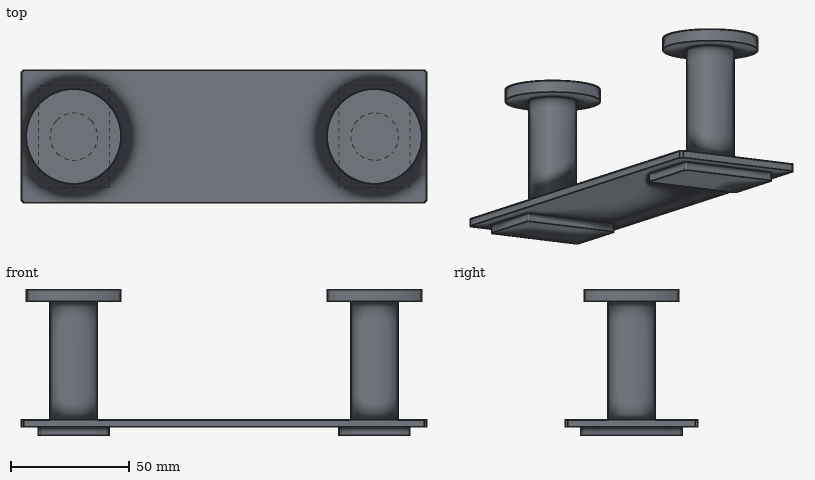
import cadquery as cq

plate_length = 171.0
plate_width = 56.0
plate_thickness = 3.0
plate_corner_chamfer = 1.0

pad_length = 30.0
pad_width = 43.0
pad_height = 3.5
pad_corner_radius = 1.0

post_spacing = 127.0
post_diameter = 20.0
post_height = 50.0
head_diameter = 40.0
head_thickness = 5.0

plate_bottom = pad_height
plate_top = plate_bottom + plate_thickness
head_bottom = plate_top + post_height


def block(length, width, height, center_x, bottom):
    """Upright block centred on the plate's long centre line."""
    return cq.Workplane("XY", origin=(center_x, 0, bottom)).rect(length, width).extrude(height)


def cylinder(diameter, height, center_x, bottom):
    """Upright cylinder on the plate's long centre line."""
    return cq.Workplane("XY", origin=(center_x, 0, bottom)).circle(diameter / 2).extrude(height)


def make_plate():
    """Base plate with its four vertical corners chamfered."""
    plate = block(plate_length, plate_width, plate_thickness, 0, plate_bottom)
    return plate.edges("|Z").chamfer(plate_corner_chamfer)


def make_pad(center_x):
    """Pad with its four vertical corners rounded."""
    pad = block(pad_length, pad_width, pad_height, center_x, 0)
    return pad.edges("|Z").fillet(pad_corner_radius)


def make_post(center_x):
    """Round post carrying a wider disc head."""
    post = cylinder(post_diameter, post_height, center_x, plate_top)
    head = cylinder(head_diameter, head_thickness, center_x, head_bottom)
    return post.union(head)


result = make_plate()
for post_x in (-post_spacing / 2, post_spacing / 2):
    result = result.union(make_pad(post_x)).union(make_post(post_x))